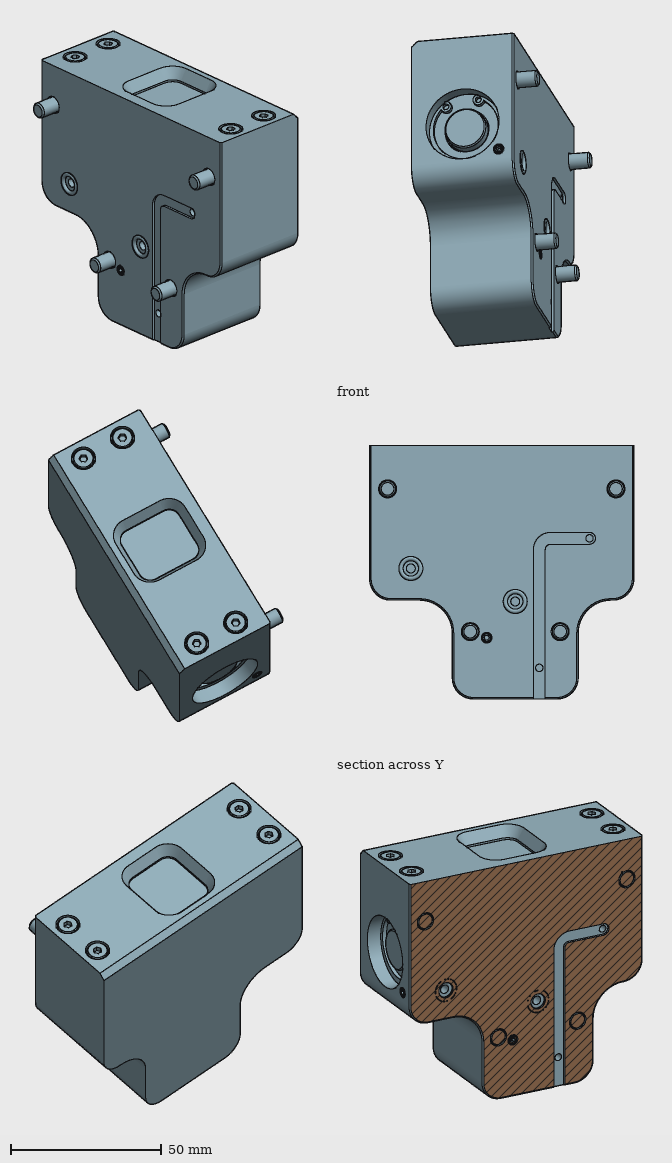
import cadquery as cq
import math


WIDTH = 88.0
DEPTH = 35.0
HEIGHT = 84.5
SHOULDER_DROP = 51.6
NECK_WIDTH = 42.0
NECK_X = 4.5
CORNER_RADIUS = 7.0
NECK_FILLET = 11.0
FRONT_CHAMFER = 0.5
BACK_CHAMFER = 2.0
LEFT_X = -WIDTH / 2
MID_Y = DEPTH / 2

WINDOW_X = 24.5
WINDOW_Y = 26.6
WINDOW_CORNER = 6.2
WINDOW_INSET = 2.3
WINDOW_TAPER_DEPTH = 4.0
WINDOW_DEPTH = 4.7

SCREW_X = 38.0
SCREW_SPACING_Y = 15.0
SCREW_BORE = 8.0
SCREW_HEAD = 7.0
SCREW_CHAMFER = 0.35
SCREW_GAP_DEPTH = 1.8
SCREW_HEX = 2.5
SCREW_HEX_DEPTH = 1.8

PLUG_BORE = 3.5
PLUG_HEAD = 3.0
PLUG_CHAMFER = 0.3
PLUG_GAP_DEPTH = 0.9
PLUG_HEX = 1.5
PLUG_HEX_DEPTH = 1.8

STUD_DIAMETER = 5.3
STUD_LENGTH = 6.95
STUD_CHAMFER = 0.5
STUD_BORE = 6.0
STUD_BORE_DEPTH = 0.9
UPPER_STUD_Z = -14.5
LOWER_STUD_OFFSET = 15.0
LOWER_STUD_Z = -62.0

PORT_POCKET = 8.0
PORT_POCKET_DEPTH = 1.1
PORT_HOLE = 3.0
PORT_HOLE_DEPTH = 5.3
ORING_INNER = 5.1
ORING_SECTION = 1.5
ORING_PROUD = 0.3

BORE_Z = -31.0
BORE_DIAMETER = 25.0
RING_FACE_DEPTH = 5.0
RING_THICKNESS = 1.5
BORE_DEPTH = RING_FACE_DEPTH + RING_THICKNESS
PISTON_BORE = 15.0
PISTON_DIAMETER = 14.0
PISTON_CHAMFER = 0.4
PISTON_FACE_DEPTH = 3.7
PISTON_GAP_DEPTH = 0.9

RING_DIAMETER = 26.2
RING_OPENING = 22.2
RING_OFFSET = 0.6
RING_TILT = 8.0
LUG_RADIUS = 1.85
LUG_HOLE = 2.0
LUG_REACH = 11.1
LUG_HALF_ANGLE = 30.3

GROOVE_X = 12.5
GROOVE_WIDTH = 4.0
GROOVE_DEPTH = 0.9
GROOVE_END_X = 29.2
GROOVE_BEND = 3.8
GROOVE_HOLE = 2.5
GROOVE_HOLE_DEPTH = 5.3
GROOVE_LOWER_HOLE_Z = -74.1

AIR_PORT = (-30.3, -41.0)
OIL_PORT = (NECK_X, -52.0)
PORTS = [AIR_PORT, OIL_PORT]
STUDS = [
    (-SCREW_X, UPPER_STUD_Z),
    (SCREW_X, UPPER_STUD_Z),
    (NECK_X - LOWER_STUD_OFFSET, LOWER_STUD_Z),
    (NECK_X + LOWER_STUD_OFFSET, LOWER_STUD_Z),
]
GROOVE_HOLES = [(GROOVE_END_X, BORE_Z), (GROOVE_X, GROOVE_LOWER_HOLE_Z)]
COVER_SCREWS = [
    (side * SCREW_X, MID_Y + row * SCREW_SPACING_Y / 2) for side in (-1, 1) for row in (-1, 1)
]
FRONT_PLUG = (-5.0, -64.1)
SIDE_PLUG_Y = 5.2
SIDE_PLUG_Z = AIR_PORT[1]


def front_plane(depth=0):
    """Plane parallel to the front face: local x = X, local y = Z, extruding outward."""
    return cq.Workplane("XZ", origin=(0, depth, 0))


def side_plane(depth=0, y=MID_Y, z=BORE_Z):
    """Plane parallel to the left side: local x = -Y, local y = Z, extruding outward."""
    return cq.Workplane(cq.Plane(origin=(LEFT_X + depth, y, z), xDir=(0, -1, 0), normal=(-1, 0, 0)))


def make_body():
    shoulders = cq.Workplane("XY").box(WIDTH, DEPTH, SHOULDER_DROP, centered=(True, False, False))
    shoulders = shoulders.translate((0, 0, -SHOULDER_DROP))
    neck = cq.Workplane("XY").box(NECK_WIDTH, DEPTH, HEIGHT, centered=(True, False, False))
    neck = neck.translate((NECK_X, 0, -HEIGHT))
    shoulders = shoulders.edges("|Y and <Z").fillet(CORNER_RADIUS)
    neck = neck.edges("|Y and <Z").fillet(CORNER_RADIUS)
    body = shoulders.union(neck)
    for side in (-1, 1):
        inner_corner = (NECK_X + side * NECK_WIDTH / 2, MID_Y, -SHOULDER_DROP)
        body = body.edges(cq.NearestToPointSelector(inner_corner)).fillet(NECK_FILLET)
    body = body.faces("<Y").edges("not >Z").chamfer(FRONT_CHAMFER)
    return body.faces(">Z").edges(">Y").chamfer(BACK_CHAMFER)


def window_prism(inset, depth, taper=0):
    plane = cq.Workplane("XY", origin=(0, MID_Y, 0))
    outline = plane.sketch().rect(WINDOW_X - 2 * inset, WINDOW_Y - 2 * inset)
    outline = outline.vertices().fillet(WINDOW_CORNER - inset).finalize()
    return outline.extrude(-depth, taper=taper)


def cut_window(body):
    taper = math.degrees(math.atan(WINDOW_INSET / WINDOW_TAPER_DEPTH))
    funnel = window_prism(0, WINDOW_TAPER_DEPTH, taper)
    well = window_prism(WINDOW_INSET, WINDOW_DEPTH)
    return body.cut(funnel).cut(well)


def fit_socket_screw(body, face, bore, head, chamfer, gap_depth, hex_size, hex_depth):
    """Flush screw: an open gap round a chamfered head with a hexagon socket."""
    hex_corners = hex_size / math.cos(math.pi / 6)
    body = body.cut(face.circle(bore / 2).extrude(-gap_depth))
    cone = face.circle(head / 2 - chamfer).workplane(offset=-chamfer).circle(head / 2).loft()
    shank = face.workplane(offset=-chamfer).circle(head / 2).extrude(chamfer - gap_depth)
    body = body.union(shank.union(cone))
    return body.cut(face.polygon(6, hex_corners).extrude(-hex_depth))


def fit_cover_screw(body, x, y):
    face = cq.Workplane("XY", origin=(x, y, 0))
    return fit_socket_screw(
        body, face, SCREW_BORE, SCREW_HEAD, SCREW_CHAMFER, SCREW_GAP_DEPTH, SCREW_HEX, SCREW_HEX_DEPTH
    )


def fit_plug(body, face):
    return fit_socket_screw(
        body, face, PLUG_BORE, PLUG_HEAD, PLUG_CHAMFER, PLUG_GAP_DEPTH, PLUG_HEX, PLUG_HEX_DEPTH
    )


def fit_studs(body):
    recesses = front_plane().pushPoints(STUDS).circle(STUD_BORE / 2).extrude(-STUD_BORE_DEPTH)
    studs = front_plane(STUD_BORE_DEPTH).pushPoints(STUDS).circle(STUD_DIAMETER / 2)
    studs = studs.extrude(STUD_BORE_DEPTH + STUD_LENGTH)
    studs = studs.faces("<Y").edges().chamfer(STUD_CHAMFER)
    return body.cut(recesses).union(studs)


def make_ports(body):
    face = front_plane().pushPoints(PORTS)
    body = body.cut(face.circle(PORT_POCKET / 2).extrude(-PORT_POCKET_DEPTH))
    body = body.cut(face.circle(PORT_HOLE / 2).extrude(-PORT_HOLE_DEPTH))
    ring_y = ORING_SECTION / 2 - ORING_PROUD
    ring_radius = (ORING_INNER + ORING_SECTION) / 2
    for x, z in PORTS:
        center = cq.Vector(x, ring_y, z)
        oring = cq.Solid.makeTorus(ring_radius, ORING_SECTION / 2, center, cq.Vector(0, 1, 0))
        body = body.union(cq.Workplane(oring))
    return body


def ring_point(reach, angle):
    """Point at an angle from the middle of the ring's mouth, in the side plane."""
    turned = math.radians(90 + RING_TILT + angle)
    return (reach * math.cos(turned), reach * math.sin(turned))


def make_retaining_ring():
    face = side_plane(RING_FACE_DEPTH)
    lug_angles = (-LUG_HALF_ANGLE, LUG_HALF_ANGLE)
    lug_points = [ring_point(LUG_REACH, angle) for angle in lug_angles]
    mouth_points = [(0, 0)] + [ring_point(RING_DIAMETER, angle) for angle in lug_angles]

    disc = face.circle(RING_DIAMETER / 2).extrude(-RING_THICKNESS)
    opening = face.center(*ring_point(RING_OFFSET, 0)).circle(RING_OPENING / 2).extrude(-RING_THICKNESS)
    mouth = face.polyline(mouth_points).close().extrude(-RING_THICKNESS)
    lugs = face.pushPoints(lug_points).circle(LUG_RADIUS).extrude(-RING_THICKNESS)
    lug_holes = face.pushPoints(lug_points).circle(LUG_HOLE / 2).extrude(-RING_THICKNESS)
    return disc.cut(opening).cut(mouth).union(lugs.intersect(disc)).cut(lug_holes)


def make_side_bore(body):
    bore = side_plane().circle(BORE_DIAMETER / 2).extrude(-BORE_DEPTH)
    ring_groove = side_plane(RING_FACE_DEPTH).circle(RING_DIAMETER / 2).extrude(-RING_THICKNESS)
    piston_bore = side_plane(BORE_DEPTH).circle(PISTON_BORE / 2).extrude(-PISTON_GAP_DEPTH)
    piston_base_depth = BORE_DEPTH + PISTON_GAP_DEPTH
    piston = side_plane(piston_base_depth).circle(PISTON_DIAMETER / 2)
    piston = piston.extrude(piston_base_depth - PISTON_FACE_DEPTH)
    piston = piston.faces("<X").edges().chamfer(PISTON_CHAMFER)
    body = body.cut(bore).cut(ring_groove).cut(piston_bore)
    return body.union(piston).union(make_retaining_ring())


def cut_oil_groove(body):
    path = (
        front_plane()
        .moveTo(GROOVE_X, -HEIGHT)
        .lineTo(GROOVE_X, BORE_Z - GROOVE_BEND)
        .radiusArc((GROOVE_X + GROOVE_BEND, BORE_Z), GROOVE_BEND)
        .lineTo(GROOVE_END_X, BORE_Z)
    )
    section = cq.Workplane("XY", origin=(GROOVE_X, 0, -HEIGHT)).rect(GROOVE_WIDTH, 2 * GROOVE_DEPTH)
    round_end = front_plane().center(GROOVE_END_X, BORE_Z).circle(GROOVE_WIDTH / 2).extrude(-GROOVE_DEPTH)
    holes = front_plane().pushPoints(GROOVE_HOLES).circle(GROOVE_HOLE / 2).extrude(-GROOVE_HOLE_DEPTH)
    return body.cut(section.sweep(path)).cut(round_end).cut(holes)


result = make_body()
result = cut_window(result)
for screw_x, screw_y in COVER_SCREWS:
    result = fit_cover_screw(result, screw_x, screw_y)
result = make_side_bore(result)
result = cut_oil_groove(result)
result = make_ports(result)
result = fit_plug(result, front_plane().center(*FRONT_PLUG))
result = fit_plug(result, side_plane(y=SIDE_PLUG_Y, z=SIDE_PLUG_Z))
result = fit_studs(result)